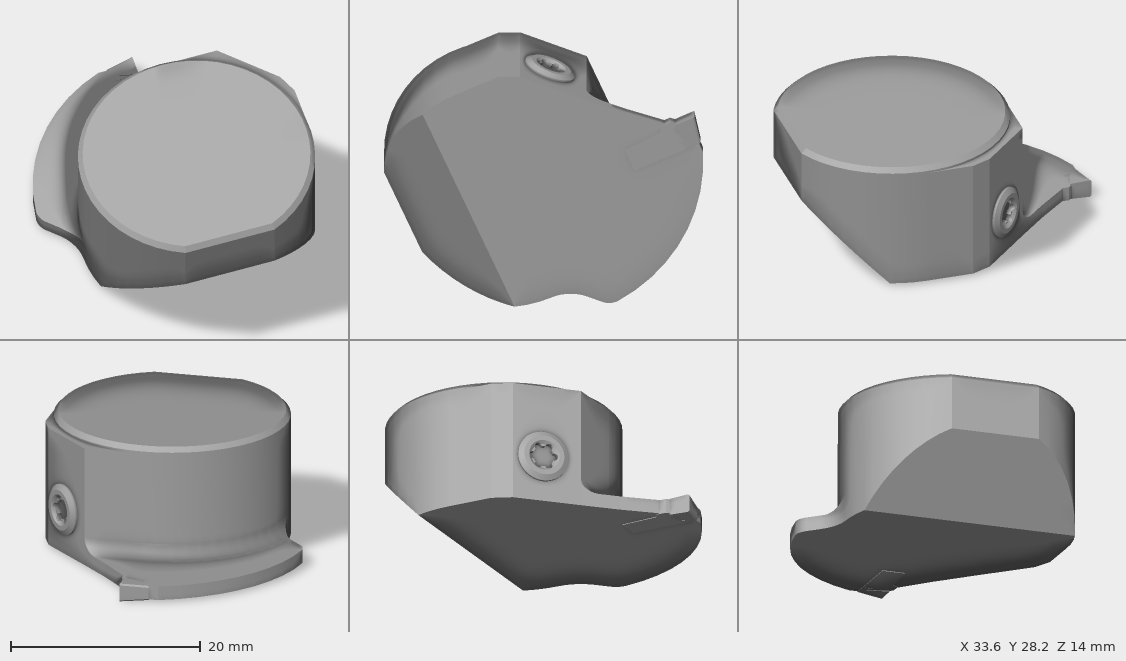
import cadquery as cq
import math


SHANK_RADIUS = 12.5
SHANK_HEIGHT = 13.75
SHANK_CHAMFER = 0.5
FLAT_X = 11.5
SLANT_HEIGHT = 7.55

BLOCK_HEIGHT = 13.0
BLOCK_BACK_EDGE_X = -5.07
SCREW_FACE_TOP = (-7.2, 11.6)
SCREW_FACE_OFFSET = SCREW_FACE_TOP[1] - SCREW_FACE_TOP[0]
BLOCK_SIDE_Y = SCREW_FACE_OFFSET - SHANK_RADIUS

ARM_THICKNESS = 1.5
ARM_FILLET = 1.5
ARM_FACE_END_Y = 6.1
ARM_KNEE = (-15.55, 3.3)
ARM_LEFT_X = -21.3
ARM_LEFT_LOW_Y = -4.0
ARM_RADIUS = 18.15
ARM_ARC_END = (-6.25, -15.72)
NOSE_RADIUS = 2.0
NECK_RADIUS = 5.0
NECK_START = (
    -NECK_RADIUS * math.sin(math.radians(45)),
    -SHANK_RADIUS - NECK_RADIUS * (1 - math.cos(math.radians(45))),
)
NOSE_RUN = 1.2
NOSE_END = (NECK_START[0] - NOSE_RUN, NECK_START[1] - NOSE_RUN)

INSERT_FRONT_X = -22.1
INSERT_BACK_X = -13.88
INSERT_WIDTH = 3.0
INSERT_LEAN = 0.6
INSERT_MIDDLE_Z = 0.722
INSERT_THICKNESS = 2 * (ARM_THICKNESS - INSERT_MIDDLE_Z)
HOOK_TOP_Y = 0.4
HOOK_FRONT_X = -19.5
HOOK_BACK_X = -18.4
HOOK_SLOPE = 0.45
SEAT_FRONT = (-18.08, -0.2)
SEAT_BACK_Y = -0.47

TIP_BACK_X = -19.72
TIP_NOTCH_POINT = (-20.4, -2.35)
TIP_NOTCH_BACK_Y = -1.88
TIP_FRONT_HEIGHT = 2.0
TIP_BACK_HEIGHT = 1.8
TIP_FLANK_HEIGHT = 1.58
TIP_CHAMFER = 0.17

SCREW_DIAMETER = 5.5
SCREW_FACE_DIAMETER = 4.4
SCREW_CENTER_Y = 9.27
SCREW_CENTER_Z = 4.97
SCREW_PROTRUSION = 0.65
SCREW_BEVEL_HEIGHT = 0.37
SOCKET_RIM_RADIUS = 1.68
SOCKET_RIM_DEPTH = 0.35
SOCKET_CORE_RADIUS = 1.15
SOCKET_LOBE_RADIUS = 0.4
SOCKET_LOBES = 6
SOCKET_DEPTH = 0.85


def make_shank():
    """Round shank with a chamfered top rim, a flat on +X and a 45 degree cut below it."""
    shank = cq.Workplane("XY").circle(SHANK_RADIUS).extrude(SHANK_HEIGHT)
    beyond_flat = (
        cq.Workplane("XY")
        .center(FLAT_X + SHANK_RADIUS, 0)
        .rect(2 * SHANK_RADIUS, 2 * SHANK_RADIUS)
        .extrude(SHANK_HEIGHT)
    )
    slant = (
        cq.Workplane("XZ")
        .polyline([(FLAT_X - SLANT_HEIGHT, 0), (FLAT_X, 0), (FLAT_X, SLANT_HEIGHT)])
        .close()
        .extrude(SHANK_RADIUS, both=True)
    )
    return shank.cut(beyond_flat).faces(">Z").edges().chamfer(SHANK_CHAMFER).cut(slant)


def make_block():
    """Corner block between the +Y and -X tangents of the shank, with the screw face across it."""
    return (
        cq.Workplane("XY")
        .polyline([
            (0, 0),
            (0, SHANK_RADIUS),
            (BLOCK_BACK_EDGE_X, SHANK_RADIUS),
            SCREW_FACE_TOP,
            (-SHANK_RADIUS, BLOCK_SIDE_Y),
            (-SHANK_RADIUS, 0),
        ])
        .close()
        .extrude(BLOCK_HEIGHT)
    )


def arm_prism(height):
    """Outline of the arm, closed through the shank axis, raised to the given height."""
    return (
        cq.Workplane("XY")
        .moveTo(0, 0)
        .lineTo(-SHANK_RADIUS, BLOCK_SIDE_Y)
        .lineTo(ARM_FACE_END_Y - SCREW_FACE_OFFSET, ARM_FACE_END_Y)
        .lineTo(*ARM_KNEE)
        .lineTo(HOOK_BACK_X - HOOK_TOP_Y, HOOK_TOP_Y)
        .lineTo(ARM_LEFT_X, -INSERT_WIDTH)
        .lineTo(ARM_LEFT_X, ARM_LEFT_LOW_Y)
        .radiusArc(ARM_ARC_END, -ARM_RADIUS)
        .radiusArc(NOSE_END, -NOSE_RADIUS)
        .lineTo(*NECK_START)
        .radiusArc((0, -SHANK_RADIUS), NECK_RADIUS)
        .close()
        .extrude(height)
    )


def fillet_section():
    """Cross-section of the hollow fillet between the arm and the shank on the -X side."""
    return (
        cq.Workplane("XZ")
        .moveTo(-SHANK_RADIUS, ARM_THICKNESS)
        .lineTo(-SHANK_RADIUS, ARM_THICKNESS + ARM_FILLET)
        .radiusArc((-SHANK_RADIUS - ARM_FILLET, ARM_THICKNESS), ARM_FILLET)
        .close()
    )


def make_arm():
    """Flat arm with a hollow fillet that follows the shank and then the side of the block."""
    round_fillet = fillet_section().revolve(90, (0, 0, 0), (0, 1, 0))
    straight_fillet = fillet_section().extrude(-BLOCK_SIDE_Y)
    fillet = round_fillet.union(straight_fillet).intersect(arm_prism(ARM_THICKNESS + ARM_FILLET))
    return arm_prism(ARM_THICKNESS).union(fillet)


def screw_plane(height):
    """Plane across the screw axis at the given height above the screw face, facing outward."""
    foot = cq.Plane(
        origin=(SCREW_CENTER_Y - SCREW_FACE_OFFSET, SCREW_CENTER_Y, SCREW_CENTER_Z),
        xDir=(1, 1, 0),
        normal=(-1, 1, 0),
    )
    return cq.Workplane(foot).workplane(offset=height)


def make_screw_head():
    """Bevelled screw head standing on the screw face."""
    bevel_width = (SCREW_DIAMETER - SCREW_FACE_DIAMETER) / 2
    head = screw_plane(0).circle(SCREW_DIAMETER / 2).extrude(SCREW_PROTRUSION)
    return head.faces(cq.selectors.DirectionMinMaxSelector(cq.Vector(-1, 1, 0))).chamfer(
        SCREW_BEVEL_HEIGHT, bevel_width
    )


def make_screw_socket():
    """Six-lobed socket with a countersunk mouth, sunk from the outer face of the screw head."""
    mouth = screw_plane(SCREW_PROTRUSION)
    rim = mouth.circle(SOCKET_RIM_RADIUS).extrude(-SOCKET_RIM_DEPTH, taper=45)
    core = mouth.circle(SOCKET_CORE_RADIUS).extrude(-SOCKET_DEPTH)
    lobes = (
        mouth.polarArray(SOCKET_CORE_RADIUS, 0, 360, SOCKET_LOBES)
        .circle(SOCKET_LOBE_RADIUS)
        .extrude(-SOCKET_DEPTH)
    )
    return rim.union(core).union(lobes)


def insert_prism():
    """Insert outline with the hook on its +Y side, at its plain thickness."""
    return (
        cq.Workplane("XY")
        .workplane(offset=INSERT_MIDDLE_Z - INSERT_THICKNESS / 2)
        .polyline([
            (INSERT_FRONT_X, 0),
            (HOOK_FRONT_X - HOOK_SLOPE, 0),
            (HOOK_FRONT_X, HOOK_TOP_Y),
            (HOOK_BACK_X, HOOK_TOP_Y),
            SEAT_FRONT,
            (INSERT_BACK_X, SEAT_BACK_Y),
            (INSERT_BACK_X, -INSERT_WIDTH),
            (INSERT_FRONT_X + INSERT_LEAN, -INSERT_WIDTH),
        ])
        .close()
        .extrude(INSERT_THICKNESS)
    )


def tip_section(x, edge_height):
    """Tip cross-section at x, thinning from the cutting edge towards -Y."""
    edge_half = edge_height / 2
    flank_half = TIP_FLANK_HEIGHT / 2
    return cq.Wire.makePolygon([
        cq.Vector(x, 0, INSERT_MIDDLE_Z - edge_half),
        cq.Vector(x, 0, INSERT_MIDDLE_Z + edge_half),
        cq.Vector(x, -INSERT_WIDTH, INSERT_MIDDLE_Z + flank_half),
        cq.Vector(x, -INSERT_WIDTH, INSERT_MIDDLE_Z - flank_half),
    ], close=True)


def make_tip():
    """Tapered cutting tip, ended at the back by a notched step."""
    wedge = cq.Solid.makeLoft(
        [tip_section(INSERT_FRONT_X, TIP_FRONT_HEIGHT), tip_section(TIP_BACK_X, TIP_BACK_HEIGHT)],
        True,
    )
    outline = (
        cq.Workplane("XY")
        .workplane(offset=INSERT_MIDDLE_Z - TIP_FRONT_HEIGHT)
        .polyline([
            (INSERT_FRONT_X, 0),
            (TIP_BACK_X, 0),
            TIP_NOTCH_POINT,
            (TIP_BACK_X, TIP_NOTCH_BACK_Y),
            (TIP_BACK_X, -INSERT_WIDTH),
            (INSERT_FRONT_X + INSERT_LEAN, -INSERT_WIDTH),
        ])
        .close()
        .extrude(2 * TIP_FRONT_HEIGHT)
    )
    return outline.intersect(cq.Workplane(wedge))


def make_insert():
    """Insert with its tip, the front face bevelled along its top and bottom edges."""
    insert = insert_prism().union(make_tip())
    front_face = insert.faces(cq.selectors.DirectionMinMaxSelector(
        cq.Vector(-INSERT_WIDTH, -INSERT_LEAN, 0)
    ))
    return front_face.edges("not |Z").chamfer(TIP_CHAMFER)


def make_holder(insert):
    """Holder with its screw head and the open seat that the insert fills."""
    holder = make_shank().union(make_block()).union(make_arm()).union(make_screw_head())
    return holder.cut(make_screw_socket()).cut(insert)


insert = make_insert()
holder = make_holder(insert)
result = cq.Compound.makeCompound([holder.val(), insert.val()])